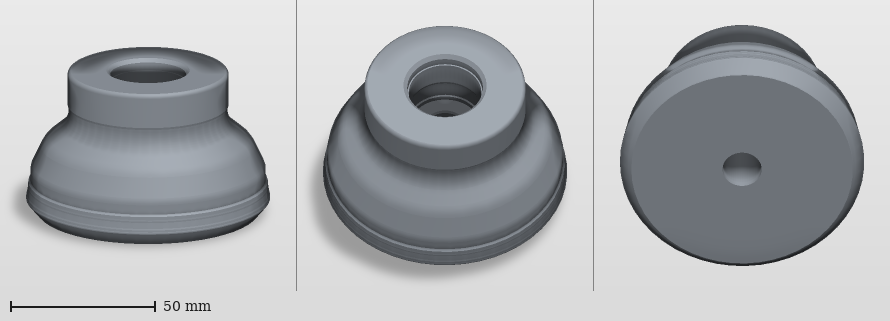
import cadquery as cq

TOTAL_HEIGHT = 50.8
SPLIT_Z = 11.4

COLLAR_RADIUS = 27.9
COLLAR_TOP_RADIUS = 26.9
COLLAR_ROUND_HEIGHT = 1.5
COLLAR_BOTTOM_Z = 38.7
NECK_RADIUS = 27.6
NECK_TOP_Z = 37.9
NECK_END_RADIUS = 30.25
NECK_END_Z = 30.5
SHOULDER_TOP_RADIUS = 34.5
SHOULDER_TOP_Z = 26.95
SHOULDER_END_RADIUS = 37.1
SHOULDER_END_Z = 23.65
SKIRT_TOP_RADIUS = 40.2
SKIRT_TOP_Z = 17.1
SKIRT_RADIUS = 40.7
SKIRT_ROUND_Z = 14.8

BORE_RADIUS = 13.1
BORE_CHAMFER = 1.3
LAND_RADIUS = 12.6
LAND_TOP_DEPTH = 4.0
LAND_BOTTOM_DEPTH = 12.8
RELIEF_DEPTH = 14.1
SEAT_DEPTH = 20.3
SEAT_RADIUS = 12.3
FLOOR_DEPTH = 22.0

HOLE_RADIUS = 6.8
HOLE_CHAMFER = 0.6

BASE_RADIUS = 42.2
BASE_TOP_CHAMFER = 0.7
BAND_TOP_RADIUS = 41.5
BAND_TOP_Z = 9.6
BAND_RADIUS = 41.6
BAND_MIDDLE_Z = 9.1
BAND_BOTTOM_Z = 8.6
STEEP_TAPER_RADIUS = 41.9
STEEP_TAPER_Z = 6.6
FLAT_TAPER_RADIUS = 42.1
FLAT_TAPER_Z = 6.1
RIM_EDGE_RADIUS = 42.15
RIM_TOP_Z = 5.3
RIM_BOTTOM_Z = 4.6
RIM_MIDDLE_Z = (RIM_TOP_Z + RIM_BOTTOM_Z) / 2
FOOT_RADIUS = 38.5
FOOT_CHAMFER = 0.25


def revolve_about_z(profile):
    """Turn a closed (radius, height) profile into a solid of revolution."""
    return profile.close().revolve(360, (0, 0, 0), (0, 1, 0))


def make_bell_blank():
    """Solid bell: upright skirt, two cones joined by rounds, concave neck, collar."""
    profile = (
        cq.Workplane("XZ")
        .moveTo(0, SPLIT_Z)
        .lineTo(SKIRT_RADIUS, SPLIT_Z)
        .lineTo(SKIRT_RADIUS, SKIRT_ROUND_Z)
        .tangentArcPoint((SKIRT_TOP_RADIUS, SKIRT_TOP_Z), relative=False)
        .lineTo(SHOULDER_END_RADIUS, SHOULDER_END_Z)
        .tangentArcPoint((SHOULDER_TOP_RADIUS, SHOULDER_TOP_Z), relative=False)
        .lineTo(NECK_END_RADIUS, NECK_END_Z)
        .tangentArcPoint((NECK_RADIUS, NECK_TOP_Z), relative=False)
        .lineTo(COLLAR_RADIUS, COLLAR_BOTTOM_Z)
        .lineTo(COLLAR_RADIUS, TOTAL_HEIGHT - COLLAR_ROUND_HEIGHT)
        .tangentArcPoint((COLLAR_TOP_RADIUS, TOTAL_HEIGHT), relative=False)
        .lineTo(0, TOTAL_HEIGHT)
    )
    return revolve_about_z(profile)


def make_bore_cutter():
    """Chamfered bore with a land, a relief below it, a seat, and the through hole."""
    floor_z = TOTAL_HEIGHT - FLOOR_DEPTH
    seat_z = TOTAL_HEIGHT - SEAT_DEPTH
    profile = (
        cq.Workplane("XZ")
        .moveTo(0, TOTAL_HEIGHT)
        .lineTo(BORE_RADIUS + BORE_CHAMFER, TOTAL_HEIGHT)
        .lineTo(BORE_RADIUS, TOTAL_HEIGHT - BORE_CHAMFER)
        .lineTo(BORE_RADIUS, TOTAL_HEIGHT - LAND_TOP_DEPTH)
        .lineTo(LAND_RADIUS, TOTAL_HEIGHT - LAND_TOP_DEPTH)
        .lineTo(LAND_RADIUS, TOTAL_HEIGHT - LAND_BOTTOM_DEPTH)
        .lineTo(BORE_RADIUS, TOTAL_HEIGHT - RELIEF_DEPTH)
        .lineTo(BORE_RADIUS, seat_z)
        .lineTo(SEAT_RADIUS, seat_z)
        .lineTo(SEAT_RADIUS, floor_z)
        .lineTo(HOLE_RADIUS + HOLE_CHAMFER, floor_z)
        .lineTo(HOLE_RADIUS, floor_z - HOLE_CHAMFER)
        .lineTo(HOLE_RADIUS, SPLIT_Z)
        .lineTo(0, SPLIT_Z)
    )
    return revolve_about_z(profile)


def make_bell():
    return make_bell_blank().cut(make_bore_cutter())


def make_base():
    """Disc under the bell: tapered side with a shallow band, rounded rim, conical foot."""
    profile = (
        cq.Workplane("XZ")
        .moveTo(HOLE_RADIUS, 0)
        .lineTo(FOOT_RADIUS - FOOT_CHAMFER, 0)
        .lineTo(FOOT_RADIUS, FOOT_CHAMFER)
        .lineTo(RIM_EDGE_RADIUS, RIM_BOTTOM_Z)
        .threePointArc((BASE_RADIUS, RIM_MIDDLE_Z), (RIM_EDGE_RADIUS, RIM_TOP_Z))
        .lineTo(FLAT_TAPER_RADIUS, FLAT_TAPER_Z)
        .lineTo(STEEP_TAPER_RADIUS, STEEP_TAPER_Z)
        .lineTo(BAND_RADIUS, BAND_BOTTOM_Z)
        .lineTo(BAND_RADIUS, BAND_MIDDLE_Z)
        .lineTo(BAND_TOP_RADIUS, BAND_TOP_Z)
        .lineTo(SKIRT_RADIUS + BASE_TOP_CHAMFER, SPLIT_Z - BASE_TOP_CHAMFER)
        .lineTo(SKIRT_RADIUS, SPLIT_Z)
        .lineTo(HOLE_RADIUS, SPLIT_Z)
    )
    return revolve_about_z(profile)


bell = make_bell()
base = make_base()

result = cq.Compound.makeCompound([bell.val(), base.val()])